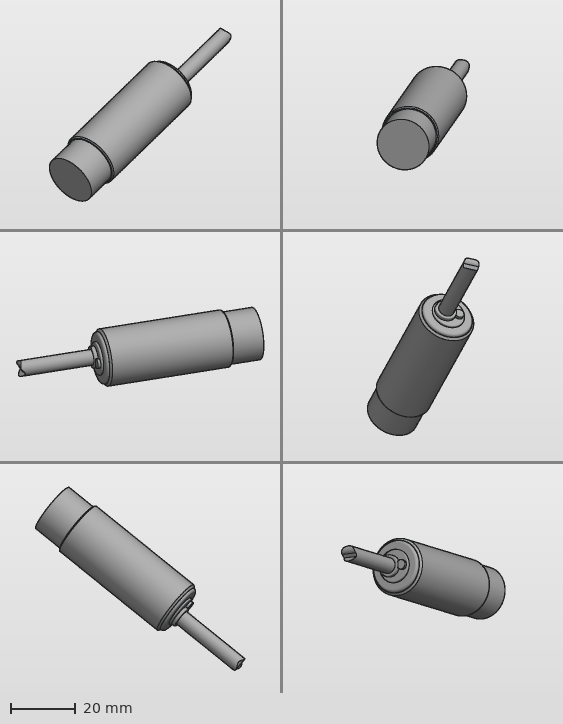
import cadquery as cq

total_length = 76.6

barrel_diameter = 18.0
nose_diameter = 16.5
nose_length = 9.95
front_chamfer = 0.4
barrel_end = 50.2
rear_chamfer = 0.7

cover_diameter = 16.4
cover_end = 51.2
cover_fillet = 0.85
disc_diameter = 10.5
disc_end = 51.85
disc_fillet = 0.3
collar_diameter = 6.9
collar_end = 53.0
collar_fillet = 0.2
lamp_diameter = 3.1
lamp_offset = -3.15
lamp_end = 52.8
cable_diameter = 5.0
cable_offset = 1.3

lobe_height = 1.4
lobe_drop = 0.7
middle_drop = 0.8
notch_height = -1.0
notch_depth = 1.5


def cylinder(diameter, start, end, x=0.0):
    """Solid cylinder along Y from start to end, with its axis at X = x."""
    base = cq.Workplane(cq.Plane((x, start, 0), (1, 0, 0), (0, 1, 0)))
    return base.circle(diameter / 2).extrude(end - start)


def make_housing():
    nose = cylinder(nose_diameter, 0, nose_length)
    barrel = cylinder(barrel_diameter, nose_length, barrel_end)
    barrel = barrel.faces("<Y").chamfer(front_chamfer).faces(">Y").chamfer(rear_chamfer)
    return nose.union(barrel)


def make_cable():
    cable = cylinder(cable_diameter, collar_end, total_length, cable_offset)
    radius = cable_diameter / 2
    waste = (
        cq.Workplane("YZ", origin=(cable_offset, 0, 0))
        .moveTo(total_length - lobe_drop, radius)
        .threePointArc((total_length, lobe_height), (total_length - middle_drop, 0))
        .lineTo(total_length - notch_depth, notch_height)
        .lineTo(total_length, -radius)
        .lineTo(total_length + notch_depth, -radius)
        .lineTo(total_length + notch_depth, radius)
        .close()
        .extrude(cable_diameter, both=True)
    )
    return cable.cut(waste)


def make_end_cap():
    cover = cylinder(cover_diameter, barrel_end, cover_end).faces(">Y").edges().fillet(cover_fillet)
    disc = cylinder(disc_diameter, cover_end, disc_end).faces(">Y").edges().fillet(disc_fillet)
    collar = cylinder(collar_diameter, disc_end, collar_end, cable_offset)
    collar = collar.faces(">Y").edges().fillet(collar_fillet)
    lamp = cylinder(lamp_diameter, disc_end, lamp_end, lamp_offset)
    return cover.union(disc).union(collar).union(lamp).union(make_cable())


housing = make_housing()
end_cap = make_end_cap()

result = cq.Compound.makeCompound([housing.val(), end_cap.val()])